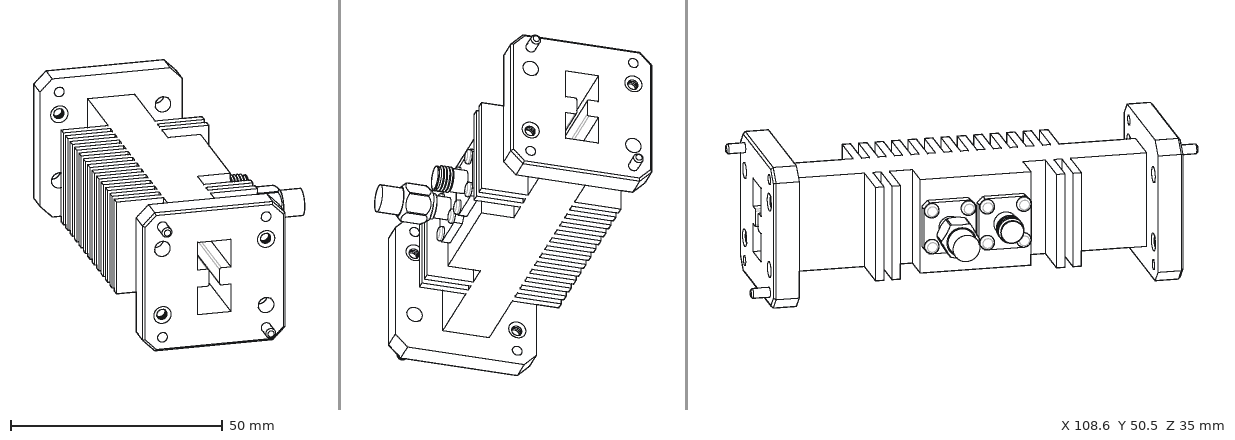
import cadquery as cq
import math

total_length = 108.6
flange_outer_span = 99.6
flange_size = 35.0
flange_thickness = 6.2
body_width = 11.5
body_height = 23.2
connector_reach = 33.0

corner_cut = 3.0
face_bevel = 0.5
hole_offset_y = 12.7
pin_offset_z = 14.0
screw_offset_z = 8.4
pin_diameter = 2.4
pin_tip_chamfer = 0.4
dowel_hole_diameter = 2.4
clearance_hole_diameter = 3.8
thread_mouth_diameter = 4.2
thread_major_diameter = 3.6
thread_minor_diameter = 2.5
thread_pitch = 0.7
thread_turns = 3
pin_length = (total_length - flange_outer_span) / 2

bore_width = 8.1
bore_height = 18.2
ridge_width = 4.3
ridge_gap = 2.6
ridge_rounding = 0.4

fin_count = 13
fin_thickness = 2.1
fin_span = 48.0
fin_reach = 17.3
back_fin_indices = (0, 1, fin_count - 2, fin_count - 1)

block_length = 26.9
block_center_x = -0.1
block_face_y = 13.8
connector_spacing = 13.5

base_size = 12.7
base_thickness = 2.1
base_corner_cut = 1.4
screw_head_offset = 4.5
screw_head_diameter = 3.5
screw_head_height = 1.0
screw_head_rounding = 0.5
base_face_y = block_face_y + base_thickness

socket_barrel_diameter = 5.5
socket_thread_diameter = 6.2
socket_thread_root = 5.3
socket_thread_start_y = 19.3
socket_thread_pitch = 0.8
socket_thread_count = 4
socket_neck_diameter = 5.2
socket_lip_diameter = 5.5
socket_lip_length = 0.3
socket_reach = 23.2

plug_barrel_diameter = 5.3
plug_collar_diameter = 6.1
plug_collar_start_y = 19.4
plug_nut_start_y = 20.4
plug_nut_end_y = 27.8
plug_nut_across_flats = 8.1
plug_nut_corner_diameter = 9.2
plug_nut_back_diameter = 7.2
plug_nut_back_bevel = 1.5
plug_nut_front_bevel = 1.1
plug_sleeve_diameter = 6.5


def box(x_range, y_range, z_range):
    """Box between the given limits along each axis."""
    sizes = [high - low for low, high in (x_range, y_range, z_range)]
    corner = (x_range[0], y_range[0], z_range[0])
    return cq.Workplane("XY").box(*sizes, centered=False).translate(corner)


def rod_x(diameter, start_x, end_x, y, z):
    """Cylinder along X."""
    rod = cq.Workplane("YZ", origin=(start_x, y, z)).circle(diameter / 2)
    return rod.extrude(end_x - start_x)


def turned_y(profile, x):
    """Solid of revolution about a Y axis at x, from (radius, y) points."""
    points = [(0, profile[0][1]), *profile, (0, profile[-1][1])]
    turned = cq.Workplane("XY").polyline(points).close().revolve(360, (0, 0, 0), (0, 1, 0))
    return turned.translate((x, 0, 0))


def threaded_recess(mouth_x, y, z, direction):
    """Blind hole with ring-shaped threads, entering a flange at mouth_x and heading along direction."""
    minor = thread_minor_diameter / 2
    major = thread_major_diameter / 2
    lead_in = thread_mouth_diameter / 2 - minor
    points = [(0, 0), (0, thread_mouth_diameter / 2)]
    depth = lead_in / 2
    for _ in range(thread_turns):
        points.append((depth, minor))
        points.append((depth + thread_pitch / 2, major))
        depth += thread_pitch
    points += [(depth, minor), (depth, 0)]
    recess = cq.Workplane("XY").polyline(points).close().revolve(360, (0, 0, 0), (1, 0, 0))
    if direction < 0:
        recess = recess.mirror("YZ")
    return recess.translate((mouth_x, y, z))


def left_flange():
    """Flange on the -X end with its dowel pins and holes."""
    outer_x = -flange_outer_span / 2
    inner_x = outer_x + flange_thickness
    half = flange_size / 2
    flange = box((outer_x, inner_x), (-half, half), (-half, half))
    flange = flange.edges("|X").chamfer(corner_cut)
    flange = flange.faces("<X").chamfer(face_bevel)
    for side in (-1, 1):
        y = side * hole_offset_y
        flange = flange.cut(rod_x(dowel_hole_diameter, outer_x, inner_x, y, -side * pin_offset_z))
        flange = flange.cut(rod_x(clearance_hole_diameter, outer_x, inner_x, y, side * screw_offset_z))
        flange = flange.cut(threaded_recess(outer_x, y, -side * screw_offset_z, 1))
        flange = flange.cut(threaded_recess(inner_x, y, -side * screw_offset_z, -1))
        pin = rod_x(pin_diameter, outer_x - pin_length, inner_x, y, side * pin_offset_z)
        flange = flange.union(pin.faces("<X").chamfer(pin_tip_chamfer))
    return flange


def body():
    """Rectangular waveguide body between the flanges, with the connector block."""
    half_length = flange_outer_span / 2 - flange_thickness
    z_range = (-body_height / 2, body_height / 2)
    tube = box((-half_length, half_length), (-body_width / 2, body_width / 2), z_range)
    block_x = (block_center_x - block_length / 2, block_center_x + block_length / 2)
    block = box(block_x, (0, block_face_y), z_range)
    return tube.union(block)


def fins():
    """Cooling fins: a full row on -Y and two at each end of the row on +Y."""
    z_range = (-body_height / 2, body_height / 2)
    row = cq.Workplane("XY")
    for index in range(fin_count):
        x = fin_span * (index / (fin_count - 1) - 0.5)
        back_y = fin_reach if index in back_fin_indices else 0
        x_range = (x - fin_thickness / 2, x + fin_thickness / 2)
        row = row.union(box(x_range, (-fin_reach, back_y), z_range))
    return row


def bore():
    """Double-ridge bore through the whole length, the ridges rounded along their tips."""
    x_range = (-flange_outer_span / 2, flange_outer_span / 2)
    opening = box(x_range, (-bore_width / 2, bore_width / 2), (-bore_height / 2, bore_height / 2))
    for side in (-1, 1):
        ridge_y = sorted((side * ridge_gap / 2, side * bore_width / 2))
        ridge = box(x_range, ridge_y, (-ridge_width / 2, ridge_width / 2))
        tip = "<Y" if side > 0 else ">Y"
        opening = opening.cut(ridge.faces(tip).edges("|X").fillet(ridge_rounding))
    return opening


def connector_base(x):
    """Square connector base with cut corners and a screw head near each corner."""
    half = base_size / 2
    base = box((x - half, x + half), (block_face_y, base_face_y), (-half, half))
    base = base.edges("|Y").chamfer(base_corner_cut)
    heads = cq.Workplane("XZ", origin=(x, base_face_y, 0))
    heads = heads.rect(2 * screw_head_offset, 2 * screw_head_offset, forConstruction=True).vertices()
    heads = heads.circle(screw_head_diameter / 2).extrude(-screw_head_height)
    return base.union(heads.faces(">Y").edges().fillet(screw_head_rounding))


def socket_connector(x):
    """Socket with an external thread and a lip at its tip."""
    barrel = socket_barrel_diameter / 2
    neck = socket_neck_diameter / 2
    lip = socket_lip_diameter / 2
    profile = [(barrel, block_face_y), (barrel, socket_thread_start_y)]
    y = socket_thread_start_y
    for _ in range(socket_thread_count):
        profile.append((socket_thread_root / 2, y))
        profile.append((socket_thread_diameter / 2, y + socket_thread_pitch / 2))
        y += socket_thread_pitch
    lip_y = socket_reach - socket_lip_length
    profile += [(neck, y), (neck, lip_y), (lip, lip_y), (lip, socket_reach)]
    return connector_base(x).union(turned_y(profile, x))


def plug_nut(x):
    """Hexagonal nut with its corners turned down and bevels at both ends."""
    corner = plug_nut_corner_diameter / 2
    sharp_diameter = 2 * plug_nut_across_flats / math.sqrt(3)
    length = plug_nut_end_y - plug_nut_start_y
    hexagon = cq.Workplane("XZ", origin=(x, plug_nut_start_y, 0)).polygon(6, sharp_diameter)
    envelope = [
        (plug_nut_back_diameter / 2, plug_nut_start_y),
        (corner, plug_nut_start_y + plug_nut_back_bevel),
        (corner, plug_nut_end_y - plug_nut_front_bevel),
        (corner - plug_nut_front_bevel, plug_nut_end_y),
    ]
    return hexagon.extrude(-length).intersect(turned_y(envelope, x))


def plug_connector(x):
    """Plug with a barrel, collar, hexagonal nut and end sleeve."""
    barrel = plug_barrel_diameter / 2
    collar = plug_collar_diameter / 2
    sleeve = plug_sleeve_diameter / 2
    profile = [
        (barrel, block_face_y),
        (barrel, plug_collar_start_y),
        (collar, plug_collar_start_y),
        (collar, plug_nut_start_y),
        (sleeve, plug_nut_start_y),
        (sleeve, connector_reach),
    ]
    return connector_base(x).union(turned_y(profile, x)).union(plug_nut(x))


flange = left_flange()
result = body().union(fins()).union(flange)
result = result.union(flange.rotate((0, 0, 0), (0, 0, 1), 180))
result = result.union(socket_connector(block_center_x - connector_spacing / 2))
result = result.union(plug_connector(block_center_x + connector_spacing / 2))
result = result.cut(bore())